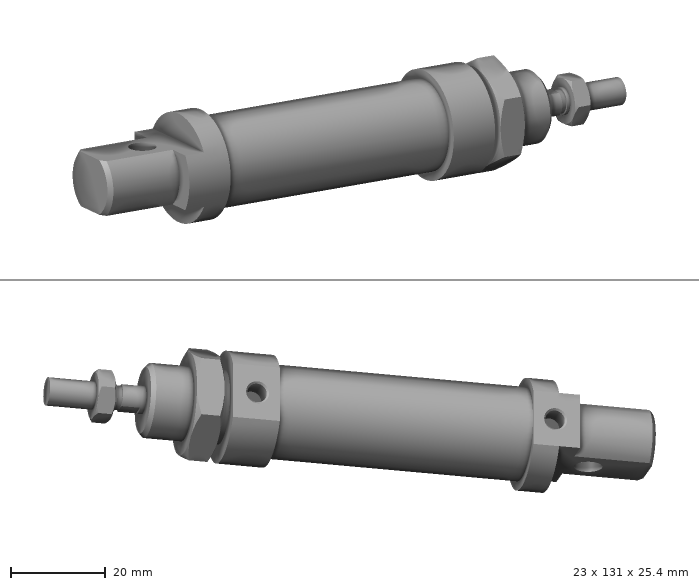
import cadquery as cq
import math

total_length = 131.0

tongue_length = 17.3
stub_diameter = 16.0
tongue_thickness = 12.0
end_chamfer = 0.9
cross_hole_diameter = 6.0
cross_hole_y = 13.0

collar_diameter = 24.0
collar_length = 10.2
collar_flat_x = -10.3
rear_disc_y = 21.9
rear_collar_front_y = tongue_length + collar_length
barrel_diameter = 20.0
barrel_length = 55.3
front_collar_y = rear_collar_front_y + barrel_length
nose_y = front_collar_y + collar_length
nose_tip_y = 110.0

port_diameter = 4.2
port_mouth_diameter = 5.0
port_chamfer = (port_mouth_diameter - port_diameter) / 2
port_depth = 5.2
port_to_barrel = 4.8

rod_diameter = 6.0
relief_diameter = 5.2
relief_length = 1.2
wrench_flat_width = 5.0
wrench_flat_y = 111.1
relief_y = 115.1

nose_nut_flats = 22.0
nose_nut_y = 95.0
nose_nut_thickness = 6.0
rod_nut_flats = 10.0
rod_nut_y = 117.1
rod_nut_thickness = 3.8
nut_chamfer_angle = 30.0


def cylinder_y(diameter, start_y, end_y):
    """Cylinder about the Y axis between two Y positions."""
    plane = cq.Plane(origin=(0, start_y, 0), xDir=(1, 0, 0), normal=(0, 1, 0))
    return cq.Workplane(plane).circle(diameter / 2).extrude(end_y - start_y)


def make_collar(start_y):
    """Round collar with a flat on its -X side."""
    collar = cylinder_y(collar_diameter, start_y, start_y + collar_length)
    kept_side = cq.Workplane("XY").box(
        collar_diameter, collar_length, collar_diameter, centered=(False, False, True)
    ).translate((collar_flat_x, start_y, 0))
    return collar.intersect(kept_side)


def make_port(port_y):
    """Cutter for a blind port with a chamfered mouth, entering from the -X side."""
    profile = [
        (collar_flat_x, 0),
        (collar_flat_x, port_mouth_diameter / 2),
        (collar_flat_x + port_chamfer, port_diameter / 2),
        (collar_flat_x + port_depth, port_diameter / 2),
        (collar_flat_x + port_depth, 0),
    ]
    port = cq.Workplane("XY").polyline(profile).close().revolve(360, (0, 0, 0), (1, 0, 0))
    return port.translate((0, port_y, 0))


def chamfered_stub(root_y, end_y):
    """Round stub about Y from its plain root to its chamfered free end."""
    inward = math.copysign(1, root_y - end_y)
    radius = stub_diameter / 2
    profile = [
        (0, root_y),
        (radius, root_y),
        (radius, end_y + inward * end_chamfer),
        (radius - end_chamfer, end_y),
        (0, end_y),
    ]
    return cq.Workplane("XY").polyline(profile).close().revolve(360, (0, 0, 0), (0, 1, 0))


def make_housing():
    tongue = chamfered_stub(tongue_length, 0)
    rear = tongue.union(make_collar(tongue_length))

    for side in (-1, 1):
        offcut = cq.Workplane("XY").box(
            collar_diameter, rear_disc_y, collar_diameter, centered=(True, False, True)
        ).translate((0, 0, side * (tongue_thickness + collar_diameter) / 2))
        rear = rear.cut(offcut)

    cross_hole = (
        cq.Workplane("XY").center(0, cross_hole_y).circle(cross_hole_diameter / 2)
        .extrude(tongue_thickness, both=True)
    )
    barrel = cylinder_y(barrel_diameter, rear_collar_front_y, front_collar_y)
    nose = chamfered_stub(nose_y, nose_tip_y)
    housing = rear.cut(cross_hole).union(barrel).union(make_collar(front_collar_y)).union(nose)

    for port_y in (rear_collar_front_y - port_to_barrel, front_collar_y + port_to_barrel):
        housing = housing.cut(make_port(port_y))

    rod_bore = cylinder_y(rod_diameter, nose_y, nose_tip_y)
    return housing.cut(rod_bore)


def make_rod():
    """Rod with a relief groove and two wrench flats; its root fills the nose bore."""
    rod = cylinder_y(rod_diameter, nose_y, total_length)
    relief_end_y = relief_y + relief_length
    groove = cylinder_y(rod_diameter, relief_y, relief_end_y).cut(
        cylinder_y(relief_diameter, relief_y, relief_end_y)
    )
    rod = rod.cut(groove)
    for side in (-1, 1):
        flat = cq.Workplane("XY").box(
            rod_diameter, relief_y - wrench_flat_y, rod_diameter, centered=(True, False, True)
        ).translate((0, wrench_flat_y, side * (wrench_flat_width + rod_diameter) / 2))
        rod = rod.cut(flat)
    return rod


def make_nut(across_flats, bore_diameter, start_y, thickness, turn):
    """Hex nut about Y with conically chamfered corners; turn is in degrees, 0 puts corners on X."""
    across_corners = across_flats / math.cos(math.radians(30))
    corner_radius = across_corners / 2
    face_radius = across_flats / 2
    chamfer_depth = (corner_radius - face_radius) * math.tan(math.radians(nut_chamfer_angle))

    plane = cq.Plane(origin=(0, start_y, 0), xDir=(1, 0, 0), normal=(0, 1, 0))
    hexagon = cq.Workplane(plane).polygon(6, across_corners).extrude(thickness)
    hexagon = hexagon.rotate((0, 0, 0), (0, 1, 0), turn)

    envelope_profile = [
        (0, 0),
        (face_radius, 0),
        (corner_radius, chamfer_depth),
        (corner_radius, thickness - chamfer_depth),
        (face_radius, thickness),
        (0, thickness),
    ]
    envelope = (
        cq.Workplane("XY").polyline(envelope_profile).close()
        .revolve(360, (0, 0, 0), (0, 1, 0)).translate((0, start_y, 0))
    )
    bore = cylinder_y(bore_diameter, start_y, start_y + thickness)
    return hexagon.intersect(envelope).cut(bore)


housing = make_housing()
rod = make_rod()
nose_nut = make_nut(nose_nut_flats, stub_diameter, nose_nut_y, nose_nut_thickness, turn=30)
rod_nut = make_nut(rod_nut_flats, rod_diameter, rod_nut_y, rod_nut_thickness, turn=0)

result = cq.Compound.makeCompound([housing.val(), rod.val(), nose_nut.val(), rod_nut.val()])